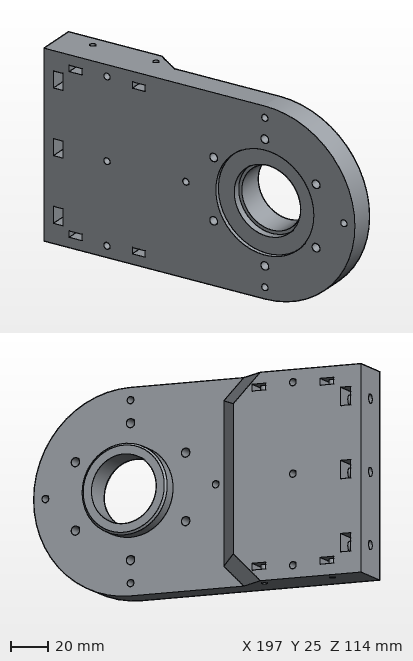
import cadquery as cq
import math

LENGTH = 197.0
WIDTH = 114.0
BLOCK_THICKNESS = 25.0
PLATE_THICKNESS = 15.0
END_RADIUS = WIDTH / 2
BORE_X = LENGTH - END_RADIUS

BLOCK_LENGTH = 75.0
BLOCK_CORNER = 16.0
SLOPE_ANGLE = 45
SLOPE_RUN = BLOCK_THICKNESS - PLATE_THICKNESS

BOSS_DIAMETER = 50.0
BOSS_HEIGHT = 8.9
BOSS_CHAMFER = 1.2
BORE_DIAMETER = 38.0
SEAT_DIAMETER = 42.0
SEAT_DEPTH = 4.5
RECESS_DIAMETER = 62.0
RECESS_DEPTH = 2.5

FLANGE_HOLE_DIAMETER = 5.0
FLANGE_CIRCLE_RADIUS = 37.5
FLANGE_HOLE_COUNT = 6
FLANGE_START_ANGLE = 30
SMALL_HOLE_DIAMETER = 4.0
SMALL_HOLE_SPACING = 50.0
SMALL_HOLE_ROW_X = 40.0
BORE_SMALL_HOLE_COUNT = 4
ROW_HOLE_COUNT = 3

END_SLOT_X = 9.0
END_SLOT_WIDTH = 6.0
END_SLOT_LENGTH = 10.0
END_SPACING = 40.0
END_SLEEVE_DIAMETER = 6.0
END_TAP_DIAMETER = 5.0
END_TAP_DEPTH = 15.0
END_TAP_Y = BLOCK_THICKNESS / 2

SIDE_SLOT_INSET = 8.0
SIDE_SLOT_WIDTH = 3.7
SIDE_SLOT_LENGTH = 8.0
SIDE_TAP_X = (20.0, 60.0)
SIDE_SLEEVE_DIAMETER = 4.0
SIDE_TAP_DIAMETER = 3.3
SIDE_TAP_DEPTH = 13.0
SIDE_TAP_Y = 17.5


def front_plane(x=0, y=0, z=0):
    """Sketch plane facing +Y, with its local y axis along -Z."""
    return cq.Workplane(cq.Plane(origin=(x, y, z), xDir=(1, 0, 0), normal=(0, 1, 0)))


def disc(diameter, start_y, height):
    """Cylinder on the bore axis, growing toward +Y."""
    return front_plane(BORE_X, start_y).circle(diameter / 2).extrude(height)


def rod(origin, direction, diameter, length):
    """Cylinder starting at origin and growing along direction."""
    cylinder = cq.Solid.makeCylinder(diameter / 2, length, cq.Vector(*origin), cq.Vector(*direction))
    return cq.Workplane(cylinder)


def plate():
    return (
        front_plane()
        .moveTo(0, -END_RADIUS)
        .lineTo(BORE_X, -END_RADIUS)
        .threePointArc((LENGTH, 0), (BORE_X, END_RADIUS))
        .lineTo(0, END_RADIUS)
        .close()
        .extrude(PLATE_THICKNESS)
    )


def block():
    """Thick end whose sloped outline has 45 degree corners, trimmed to the plate width."""
    foot_length = BLOCK_LENGTH + SLOPE_RUN
    foot_half_width = END_RADIUS + SLOPE_RUN
    foot_corner = BLOCK_CORNER + SLOPE_RUN * (2 - math.sqrt(2))
    blank_start = -2 * SLOPE_RUN
    sloped = (
        front_plane(0, PLATE_THICKNESS)
        .moveTo(blank_start, -foot_half_width)
        .lineTo(foot_length - foot_corner, -foot_half_width)
        .lineTo(foot_length, -foot_half_width + foot_corner)
        .lineTo(foot_length, foot_half_width - foot_corner)
        .lineTo(foot_length - foot_corner, foot_half_width)
        .lineTo(blank_start, foot_half_width)
        .close()
        .extrude(SLOPE_RUN, taper=SLOPE_ANGLE)
    )
    envelope = cq.Workplane().box(LENGTH, BLOCK_THICKNESS, WIDTH, centered=(False, False, True))
    return sloped.intersect(envelope)


def bearing_boss():
    return disc(BOSS_DIAMETER, PLATE_THICKNESS, BOSS_HEIGHT).faces(">Y").edges().chamfer(BOSS_CHAMFER)


def bearing_seat():
    """Through bore with a bearing seat and a shallow wide recess in the front face."""
    return (
        disc(BORE_DIAMETER, 0, BLOCK_THICKNESS)
        .union(disc(SEAT_DIAMETER, 0, RECESS_DEPTH + SEAT_DEPTH))
        .union(disc(RECESS_DIAMETER, 0, RECESS_DEPTH))
    )


def screw_holes():
    flange_holes = (
        front_plane(BORE_X)
        .polarArray(FLANGE_CIRCLE_RADIUS, FLANGE_START_ANGLE, 360, FLANGE_HOLE_COUNT)
        .circle(FLANGE_HOLE_DIAMETER / 2)
        .extrude(BLOCK_THICKNESS)
    )
    around_bore = (
        front_plane(BORE_X)
        .polarArray(SMALL_HOLE_SPACING, 0, 360, BORE_SMALL_HOLE_COUNT)
        .circle(SMALL_HOLE_DIAMETER / 2)
        .extrude(BLOCK_THICKNESS)
    )
    block_row = (
        front_plane(SMALL_HOLE_ROW_X)
        .rarray(2, SMALL_HOLE_SPACING, 1, ROW_HOLE_COUNT)
        .circle(SMALL_HOLE_DIAMETER / 2)
        .extrude(BLOCK_THICKNESS)
    )
    return flange_holes.union(around_bore).union(block_row)


def nut_slot(x, z, size_x, size_z):
    return front_plane(x, 0, z).rect(size_x, size_z).extrude(BLOCK_THICKNESS)


def add_sleeve(body, entry, direction, sleeve_diameter, tap_diameter, depth):
    """Set a sleeve with a blind tapping hole into the body, bridging the nut slot on its way."""
    sleeve = rod(entry, direction, sleeve_diameter, depth)
    tap = rod(entry, direction, tap_diameter, depth)
    return body.cut(sleeve, clean=False).union(sleeve.cut(tap), clean=False)


result = plate().union(block()).union(bearing_boss()).cut(bearing_seat()).cut(screw_holes())

end_heights = (-END_SPACING, 0, END_SPACING)
side_places = [(x, side) for x in SIDE_TAP_X for side in (-1, 1)]

for z in end_heights:
    result = result.cut(nut_slot(END_SLOT_X, z, END_SLOT_WIDTH, END_SLOT_LENGTH))

for x, side in side_places:
    slot_z = side * (END_RADIUS - SIDE_SLOT_INSET)
    result = result.cut(nut_slot(x, slot_z, SIDE_SLOT_LENGTH, SIDE_SLOT_WIDTH))

for z in end_heights:
    entry = (0, END_TAP_Y, z)
    result = add_sleeve(result, entry, (1, 0, 0), END_SLEEVE_DIAMETER, END_TAP_DIAMETER, END_TAP_DEPTH)

for x, side in side_places:
    entry = (x, SIDE_TAP_Y, side * END_RADIUS)
    inward = (0, 0, -side)
    result = add_sleeve(result, entry, inward, SIDE_SLEEVE_DIAMETER, SIDE_TAP_DIAMETER, SIDE_TAP_DEPTH)